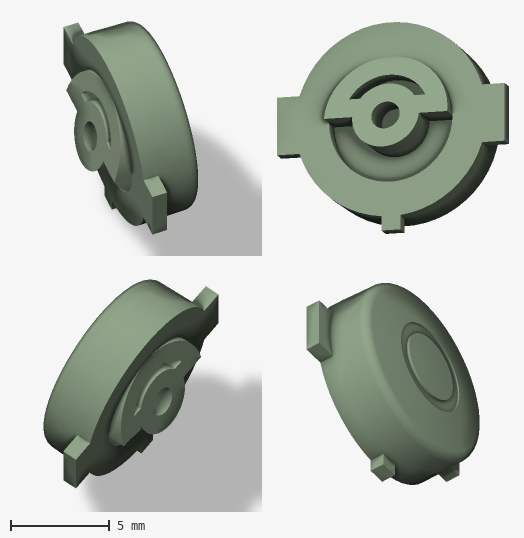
import cadquery as cq
import math

flange_radius = 5.04
flange_thickness = 0.8
side_tab_reach = 6.0
side_tab_height = 3.0
bottom_tab_reach = 5.76
bottom_tab_width = 1.0

shoulder_y = 2.6
shoulder_radius = 4.99
dome_edge_y = 3.07
dome_edge_radius = 4.55
dome_top_y = 3.5
edge_round = 0.5

groove_inner_radius = 1.87
groove_outer_radius = 2.5
groove_floor_y = 3.28

recess_radius = 3.25
recess_depth = 1.0
hub_radius = 1.75
hub_reach = 1.5
bore_radius = 0.75
slot_outer_radius = 2.25
slot_floor_z = 1.01


def cylinder(radius, y_front, y_back):
    """Solid cylinder on the Y axis."""
    return cq.Workplane("XZ", origin=(0, y_front, 0)).circle(radius).extrude(y_front - y_back)


def box(x_min, x_max, y_min, y_max, z_min, z_max):
    """Axis-aligned block given by its limits."""
    size = (x_max - x_min, y_max - y_min, z_max - z_min)
    return cq.Workplane("XY").box(*size, centered=False).translate((x_min, y_min, z_min))


def flange():
    """Round plate with two side tabs and one bottom tab."""
    plate = cylinder(flange_radius, 0, flange_thickness)
    side_tabs = box(-side_tab_reach, side_tab_reach, 0, flange_thickness,
                    -side_tab_height / 2, side_tab_height / 2)
    bottom_tab = box(-bottom_tab_width / 2, bottom_tab_width / 2, 0, flange_thickness,
                     -bottom_tab_reach, 0)
    return plate.union(side_tabs).union(bottom_tab)


def cap():
    """Slightly tapered drum with a rounded edge and a shallow dome."""
    rise = dome_top_y - dome_edge_y
    sphere_radius = (dome_edge_radius**2 + rise**2) / (2 * rise)
    mid_radius = dome_edge_radius / 2
    mid_y = dome_top_y - sphere_radius + math.sqrt(sphere_radius**2 - mid_radius**2)
    profile = (
        cq.Workplane("XY")
        .moveTo(0, flange_thickness)
        .lineTo(flange_radius, flange_thickness)
        .lineTo(shoulder_radius, shoulder_y)
        .radiusArc((dome_edge_radius, dome_edge_y), -edge_round)
        .threePointArc((mid_radius, mid_y), (0, dome_top_y))
        .close()
    )
    return profile.revolve(360, (0, 0, 0), (0, 1, 0))


def crown_groove():
    """Ring removed from the dome, leaving a round button in the middle."""
    return cylinder(groove_outer_radius, groove_floor_y, dome_top_y).cut(
        cylinder(groove_inner_radius, groove_floor_y, dome_top_y))


def wedge_and_hub():
    """Upper half disc and hub, both cut by one plane that leans out towards the bottom."""
    upper_half = cylinder(recess_radius, -hub_reach, recess_depth).intersect(
        box(-recess_radius, recess_radius, -hub_reach, recess_depth, 0, recess_radius))
    hub = cylinder(hub_radius, -hub_reach, recess_depth)
    sloped_side = (
        cq.Workplane("YZ")
        .polyline([(0, recess_radius), (-hub_reach, -hub_radius),
                   (recess_depth, -hub_radius), (recess_depth, recess_radius)])
        .close()
        .extrude(recess_radius, both=True)
    )
    return upper_half.union(hub).intersect(sloped_side)


def arc_slot():
    """Crescent slot above the hub with a flat lower edge."""
    ring = cylinder(slot_outer_radius, -hub_reach, recess_depth).cut(
        cylinder(hub_radius, -hub_reach, recess_depth))
    return ring.intersect(box(-slot_outer_radius, slot_outer_radius, -hub_reach, recess_depth,
                              slot_floor_z, slot_outer_radius))


recess = cylinder(recess_radius, 0, recess_depth)
bore = cylinder(bore_radius, -hub_reach, recess_depth)

body = flange().union(cap()).cut(crown_groove()).cut(recess)
result = body.union(wedge_and_hub()).cut(arc_slot()).cut(bore)